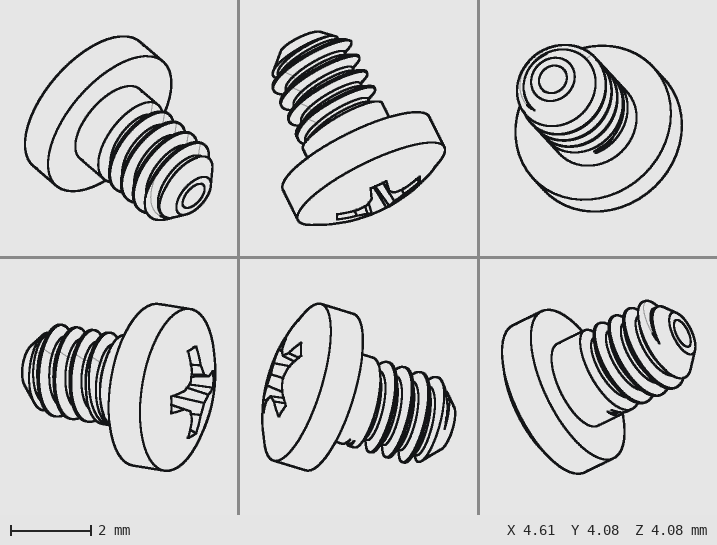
import math

import cadquery as cq


HEAD_DIAMETER = 4.08
HEAD_RIM_HEIGHT = 0.878
DOME_RADIUS = 3.8

SHANK_LENGTH = 3.175
THREAD_DIAMETER = 2.28
PITCH = 0.45
THREAD_DEPTH = 0.6 * PITCH
GROOVE_WIDTH = 0.9 * PITCH
ROOT_WIDTH = PITCH / 4
FLANK_SLOPE = (GROOVE_WIDTH - ROOT_WIDTH) / 2 / THREAD_DEPTH
GROOVE_OVERCUT = 0.03
TIP_RADIUS = 0.573

FULL_DEPTH_ANGLE = 45
FULL_DEPTH_X = 0.905
RUNOUT_ANGLE = 120
FULL_DEPTH_TURNS = 5
POINTS_PER_TURN = 24

RECESS_SURFACE_X = -1.303
RECESS_FLOOR_X = -0.60
ARM_REACH = (1.147, 0.79)
ARM_HALF_WIDTH = (0.221, 0.107)
ARM_ROOT = (0.648, 0.636)
FLARE_CORNER = (0.356, 0.278)
FLOOR_SLOPE = math.tan(math.radians(15))
AXIAL_HOLE_DIAMETER = 0.73

HEAD_RADIUS = HEAD_DIAMETER / 2
THREAD_RADIUS = THREAD_DIAMETER / 2
ROOT_RADIUS = THREAD_RADIUS - THREAD_DEPTH


def dome_sag(radius):
    """Drop of the dome below its apex at a distance from the axis."""
    return DOME_RADIUS - math.sqrt(DOME_RADIUS**2 - radius**2)


APEX_X = -HEAD_RIM_HEIGHT - dome_sag(HEAD_RADIUS)


def make_blank():
    """Head and shank without thread and recess."""
    mid_radius = HEAD_RADIUS / 2
    profile = (
        cq.Workplane("XY")
        .moveTo(APEX_X, 0)
        .threePointArc((APEX_X + dome_sag(mid_radius), mid_radius), (-HEAD_RIM_HEIGHT, HEAD_RADIUS))
        .lineTo(0, HEAD_RADIUS)
        .lineTo(0, THREAD_RADIUS)
        .lineTo(SHANK_LENGTH - (THREAD_RADIUS - TIP_RADIUS), THREAD_RADIUS)
        .lineTo(SHANK_LENGTH, TIP_RADIUS)
        .lineTo(SHANK_LENGTH, 0)
        .close()
    )
    return profile.revolve(360, (0, 0, 0), (1, 0, 0))


def helix_edge(start_angle, end_angle, x_offset, radius, start_lift):
    """Helical edge beside the groove middle, lifted outwards at its start and not at its end."""
    count = math.ceil((end_angle - start_angle) / 360 * POINTS_PER_TURN)
    points = []
    for i in range(count + 1):
        fraction = i / count
        angle = start_angle + fraction * (end_angle - start_angle)
        x = FULL_DEPTH_X + PITCH * (angle - FULL_DEPTH_ANGLE) / 360 + x_offset
        r = radius + start_lift * (1 - fraction)
        turn = math.radians(angle)
        points.append(cq.Vector(x, r * math.cos(turn), r * math.sin(turn)))
    return cq.Edge.makeSpline(points)


def groove_solid(start_angle, end_angle, start_lift):
    """Trapezoidal thread groove between two angles."""
    outer_radius = THREAD_RADIUS + GROOVE_OVERCUT
    outer_half = GROOVE_WIDTH / 2 + GROOVE_OVERCUT * FLANK_SLOPE
    root_half = ROOT_WIDTH / 2
    corners = [
        (-outer_half, outer_radius),
        (-root_half, ROOT_RADIUS),
        (root_half, ROOT_RADIUS),
        (outer_half, outer_radius),
    ]
    edges = [helix_edge(start_angle, end_angle, x, r, start_lift) for x, r in corners]
    faces = [cq.Face.makeRuledSurface(edges[i - 1], edges[i]) for i in range(len(edges))]
    for position in (0, 1):
        ends = [edge.positionAt(position) for edge in edges]
        faces.append(cq.Face.makeFromWires(cq.Wire.makePolygon(ends, close=True)))
    return cq.Workplane(cq.Solid.makeSolid(cq.Shell.makeShell(faces)))


def make_groove_pieces():
    """Groove pieces in order along the screw: the runout, then one piece per turn."""
    runout_start = FULL_DEPTH_ANGLE - RUNOUT_ANGLE
    pieces = [groove_solid(runout_start, FULL_DEPTH_ANGLE, THREAD_DEPTH)]
    for turn in range(FULL_DEPTH_TURNS):
        turn_start = FULL_DEPTH_ANGLE + 360 * turn
        pieces.append(groove_solid(turn_start, turn_start + 360, 0))
    return pieces


def recess_section(x):
    """Corners of the cross at a given X; every wall has a straight draft."""
    depth = (x - RECESS_SURFACE_X) / (RECESS_FLOOR_X - RECESS_SURFACE_X)

    def at_depth(size):
        return size[0] + depth * (size[1] - size[0])

    reach = at_depth(ARM_REACH)
    half = at_depth(ARM_HALF_WIDTH)
    root = at_depth(ARM_ROOT)
    flare = at_depth(FLARE_CORNER)
    arm = [(root, -half), (reach, -half), (reach, half), (root, half), (flare, flare)]
    points = []
    for cos, sin in [(1, 0), (0, 1), (-1, 0), (0, -1)]:
        points += [cq.Vector(x, a * cos - b * sin, a * sin + b * cos) for a, b in arm]
    return cq.Wire.makePolygon(points, close=True)


def make_recess():
    """Drafted cross ending on a conical floor."""
    floor_tip_x = RECESS_FLOOR_X + ARM_REACH[1] * FLOOR_SLOPE
    cross = cq.Solid.makeLoft([recess_section(APEX_X), recess_section(floor_tip_x)], True)
    floor_edge_x = floor_tip_x - HEAD_RADIUS * FLOOR_SLOPE
    above_floor = (
        cq.Workplane("XY")
        .polyline([(APEX_X, 0), (floor_tip_x, 0), (floor_edge_x, HEAD_RADIUS), (APEX_X, HEAD_RADIUS)])
        .close()
        .revolve(360, (0, 0, 0), (1, 0, 0))
    )
    return above_floor.intersect(cq.Workplane(cross))


def make_axial_hole():
    length = SHANK_LENGTH - APEX_X
    return cq.Workplane("YZ", origin=(APEX_X, 0, 0)).circle(AXIAL_HOLE_DIAMETER / 2).extrude(length)


result = make_blank()
for groove_piece in make_groove_pieces():
    result = result.cut(groove_piece)
result = result.cut(make_recess()).cut(make_axial_hole())